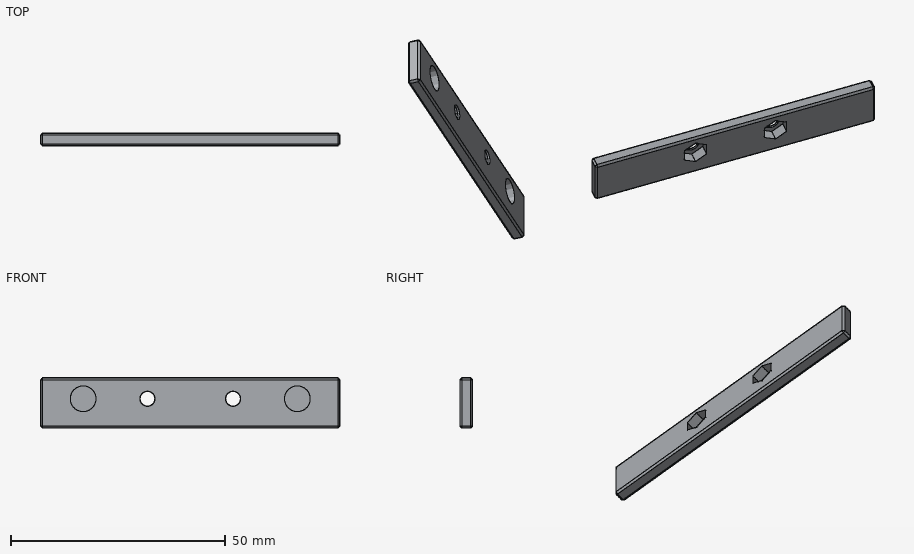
import cadquery as cq
import math

length = 69.8
thickness = 3.0
height = 11.8
edge_chamfer = 0.5

row_height = 1.0

screw_diameter = 3.4
screw_offset = 10.0
nut_across_flats = 5.5
nut_recess_depth = 2.5

pocket_diameter = 6.0
pocket_offset = 25.0
pocket_depth = 2.5

front_y = -thickness / 2
back_y = thickness / 2


def mirrored_centers(start_y, offset):
    """Pair of points on the hole row, on a plane at start_y with local x along Z and local y along X."""
    plane = cq.Plane(origin=(0, start_y, row_height), xDir=(0, 0, 1), normal=(0, 1, 0))
    return cq.Workplane(plane).pushPoints([(0, -offset), (0, offset)])


bar = cq.Workplane("XY").box(length, thickness, height).edges().chamfer(edge_chamfer)

screw_holes = mirrored_centers(front_y, screw_offset).circle(screw_diameter / 2).extrude(thickness)

nut_across_corners = nut_across_flats / math.cos(math.pi / 6)
nut_recesses = (
    mirrored_centers(back_y - nut_recess_depth, screw_offset)
    .polygon(6, nut_across_corners)
    .extrude(nut_recess_depth)
)

pockets = mirrored_centers(front_y, pocket_offset).circle(pocket_diameter / 2).extrude(pocket_depth)

result = bar.cut(screw_holes).cut(nut_recesses).cut(pockets)